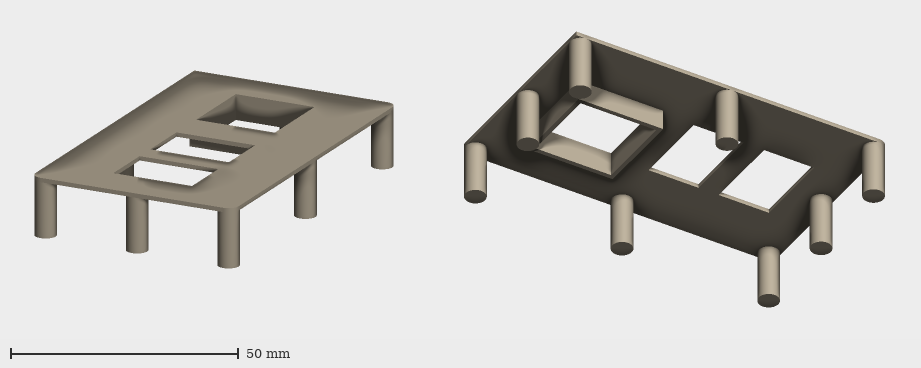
import cadquery as cq

plate_width = 50.0
plate_length = 80.0
total_height = 14.0

post_diameter = plate_width / 10
plate_thickness = post_diameter / 5
corner_radius = post_diameter / 2
post_x = plate_width / 2 - corner_radius
post_y = plate_length / 2 - corner_radius

window_width = 19.4
small_window_length = 12.8
large_window_y = 20.2
small_window_ys = (-5.5, -23.5)

collar_wall = 1.1
collar_height = 6.0
collar_side = window_width + 2 * collar_wall


def block(width, length, height, y=0):
    """Box centred on X = 0 whose top face lies at Z = 0."""
    return cq.Workplane("XY").box(width, length, height, (True, True, False)).translate((0, y, -height))


def make_plate():
    """Flat plate with one square corner at -X, +Y and three rounded corners."""
    plate = block(plate_width, plate_length, plate_thickness)
    plate = plate.edges("|Z and >X").fillet(corner_radius)
    return plate.edges("|Z and <X").edges("<Y").fillet(corner_radius)


def make_posts():
    """Posts around the border: four corners and four side middles."""
    centres = [
        (x, y)
        for x in (-post_x, 0, post_x)
        for y in (-post_y, 0, post_y)
        if (x, y) != (0, 0)
    ]
    return cq.Workplane("XY").pushPoints(centres).circle(post_diameter / 2).extrude(-total_height)


result = make_plate().union(make_posts())
result = result.union(block(collar_side, collar_side, collar_height, large_window_y))

result = result.cut(block(window_width, window_width, collar_height, large_window_y))
for window_y in small_window_ys:
    result = result.cut(block(window_width, small_window_length, plate_thickness, window_y))